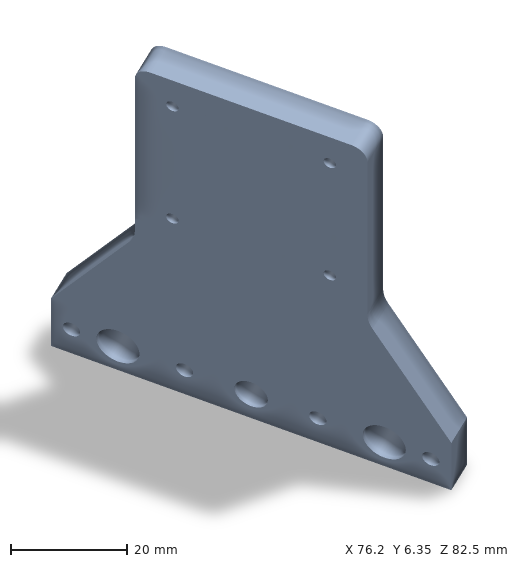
import cadquery as cq

base_width = 76.2
thickness = 6.35
height = 82.55
back_face = (0, thickness / 2, 0)

panel_width = 44.25
foot_height = 12.6
shoulder_height = 37.0
top_corner_radius = 3.0
shoulder_radius = 6.0

foot_hole_height = 6.35
center_hole_diameter = 6.35
large_hole_diameter = 8.2
large_hole_spacing = 50.7
small_hole_diameter = 3.3
inner_hole_spacing = large_hole_spacing / 2
outer_hole_spacing = 68.35

mount_hole_diameter = 2.4
mount_hole_spacing = 30.0
mount_pattern_height = 60.7


def make_plate():
    """Extrude the symmetric outline along Y and round its corners."""
    half_base = base_width / 2
    half_panel = panel_width / 2
    outline = [
        (-half_base, 0),
        (half_base, 0),
        (half_base, foot_height),
        (half_panel, shoulder_height),
        (half_panel, height),
        (-half_panel, height),
        (-half_panel, shoulder_height),
        (-half_base, foot_height),
    ]
    plate = cq.Workplane("XZ", origin=back_face).polyline(outline).close().extrude(thickness)
    selection_margin = 0.8
    for side in (-1, 1):
        for z, radius in ((height, top_corner_radius), (shoulder_height, shoulder_radius)):
            x = side * half_panel
            selector = cq.selectors.BoxSelector(
                (x - selection_margin, -thickness, z - selection_margin),
                (x + selection_margin, thickness, z + selection_margin),
            )
            plate = plate.edges("|Y").edges(selector).fillet(radius)
    return plate


def make_holes(centers, diameter):
    """Cutters along Y, through the full thickness, at the given (x, z) centers."""
    return cq.Workplane("XZ", origin=back_face).pushPoints(centers).circle(diameter / 2).extrude(thickness)


def mirrored_pair(spacing, z):
    return [(-spacing / 2, z), (spacing / 2, z)]


small_holes = (
    mirrored_pair(inner_hole_spacing, foot_hole_height)
    + mirrored_pair(outer_hole_spacing, foot_hole_height)
)
mount_holes = (
    mirrored_pair(mount_hole_spacing, mount_pattern_height - mount_hole_spacing / 2)
    + mirrored_pair(mount_hole_spacing, mount_pattern_height + mount_hole_spacing / 2)
)

result = (
    make_plate()
    .cut(make_holes([(0, foot_hole_height)], center_hole_diameter))
    .cut(make_holes(mirrored_pair(large_hole_spacing, foot_hole_height), large_hole_diameter))
    .cut(make_holes(small_holes, small_hole_diameter))
    .cut(make_holes(mount_holes, mount_hole_diameter))
)